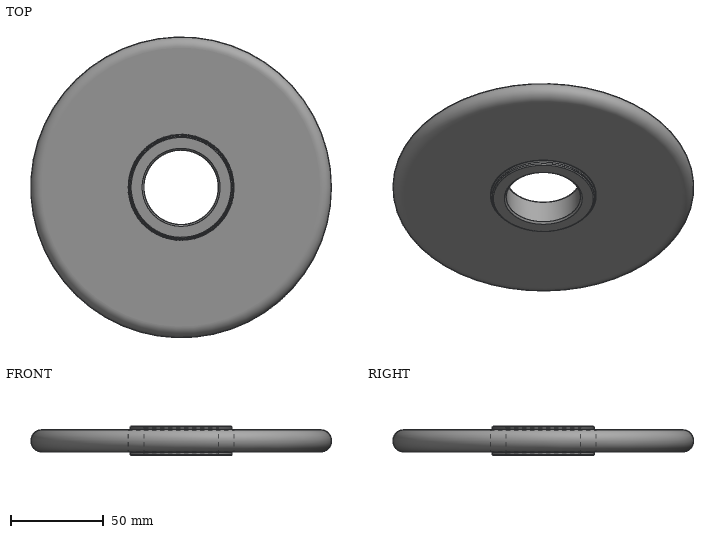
import cadquery as cq

disc_diameter = 162.0
disc_thickness = 12.0
rim_band = 0.1
rim_radius = (disc_thickness - rim_band) / 2

hub_diameter = 55.0
hub_length = 16.0
hub_chamfer = 0.6
bore_diameter = 40.01
bore_chamfer = 1.0

seat_diameter = 57.0
seat_depth = 0.3
seat_length = disc_thickness - 2 * seat_depth

foot_cone = 0.6


def make_disc():
    """Disc with filleted rim edges and a plain bore for the hub seat."""
    blank = (
        cq.Workplane("XY")
        .workplane(offset=-disc_thickness / 2)
        .circle(disc_diameter / 2)
        .extrude(disc_thickness)
        .edges()
        .fillet(rim_radius)
    )
    return blank.faces(">Z").workplane().hole(seat_diameter)


def make_hub():
    """Revolved hub, the same at both ends: chamfers, conical foot and wide seat."""
    bore_radius = bore_diameter / 2
    hub_radius = hub_diameter / 2
    seat_radius = seat_diameter / 2
    half_length = hub_length / 2
    half_seat = seat_length / 2
    upper_half = [
        (bore_radius, half_length - bore_chamfer),
        (bore_radius + bore_chamfer, half_length),
        (hub_radius - hub_chamfer, half_length),
        (hub_radius, half_length - hub_chamfer),
        (hub_radius, half_seat + foot_cone),
        (hub_radius + foot_cone, half_seat),
        (seat_radius, half_seat),
    ]
    lower_half = [(radius, -height) for radius, height in reversed(upper_half)]
    return (
        cq.Workplane("XZ")
        .polyline(upper_half + lower_half)
        .close()
        .revolve(360, (0, 0, 0), (0, 1, 0))
    )


disc = make_disc()
hub = make_hub()

result = cq.Compound.makeCompound([disc.val(), hub.val()])